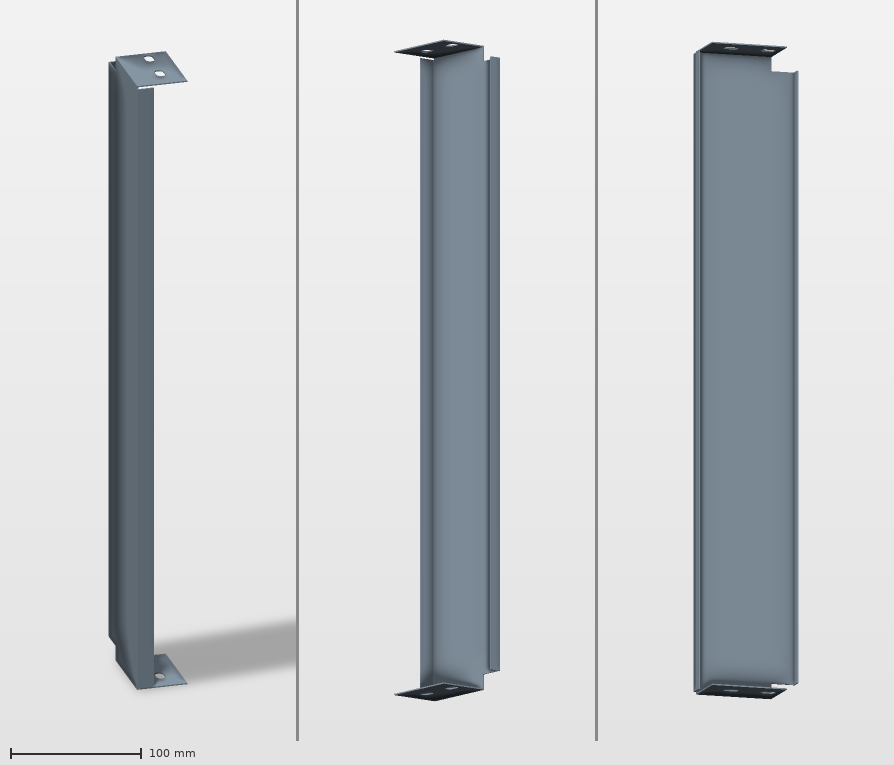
import cadquery as cq

WIDTH = 81.0
HEIGHT = 501.0
END_FLANGE_DEPTH = 39.92
SHEET = 1.0

LEFT_FLANGE_DEPTH = 9.0
RIGHT_FLANGE_DEPTH = 13.0

NOTCH_WIDTH = 19.0
NOTCH_HEIGHT = 12.0
CORNER_RELIEF = 2.0

SLOT_COUNT = 2
SLOT_LENGTH = 12.0
SLOT_WIDTH = 7.0
SLOT_SPACING = 30.0
FIRST_SLOT_INSET = 10.0
SLOT_TO_REAR_EDGE = 16.0

END_FLANGE_RIGHT = WIDTH - CORNER_RELIEF
FIRST_SLOT_X = NOTCH_WIDTH + FIRST_SLOT_INSET
SLOT_Y = END_FLANGE_DEPTH - SLOT_TO_REAR_EDGE


def block(x_range, y_range, z_range):
    """Axis-aligned box spanning the given ranges."""
    size = [high - low for low, high in (x_range, y_range, z_range)]
    corner = (x_range[0], y_range[0], z_range[0])
    return cq.Workplane("XY").box(*size, centered=False).translate(corner)


def front_panel():
    """Flat panel with notched left corners and small reliefs at the right corners."""
    left_part = block((0, NOTCH_WIDTH), (0, SHEET), (NOTCH_HEIGHT, HEIGHT - NOTCH_HEIGHT))
    middle_part = block((NOTCH_WIDTH, END_FLANGE_RIGHT), (0, SHEET), (0, HEIGHT))
    right_part = block((END_FLANGE_RIGHT, WIDTH), (0, SHEET), (CORNER_RELIEF, HEIGHT - CORNER_RELIEF))
    return middle_part.union(left_part).union(right_part)


def side_flange(left_x, depth, end_gap):
    """Lengthwise flange standing on the panel, stopping short of both ends."""
    return block((left_x, left_x + SHEET), (0, depth), (end_gap, HEIGHT - end_gap))


def end_flange(bottom_z):
    """Slotted mounting flange across one end of the panel."""
    z_range = (bottom_z, bottom_z + SHEET)
    plate = block((NOTCH_WIDTH, END_FLANGE_RIGHT), (0, END_FLANGE_DEPTH), z_range)
    centers = [(FIRST_SLOT_X + i * SLOT_SPACING, SLOT_Y) for i in range(SLOT_COUNT)]
    slots = cq.Workplane("XY", origin=(0, 0, bottom_z)).pushPoints(centers)
    return plate.cut(slots.slot2D(SLOT_LENGTH, SLOT_WIDTH).extrude(SHEET))


result = (
    front_panel()
    .union(side_flange(0, LEFT_FLANGE_DEPTH, NOTCH_HEIGHT))
    .union(side_flange(WIDTH - SHEET, RIGHT_FLANGE_DEPTH, CORNER_RELIEF))
    .union(end_flange(0))
    .union(end_flange(HEIGHT - SHEET))
    .clean()
)